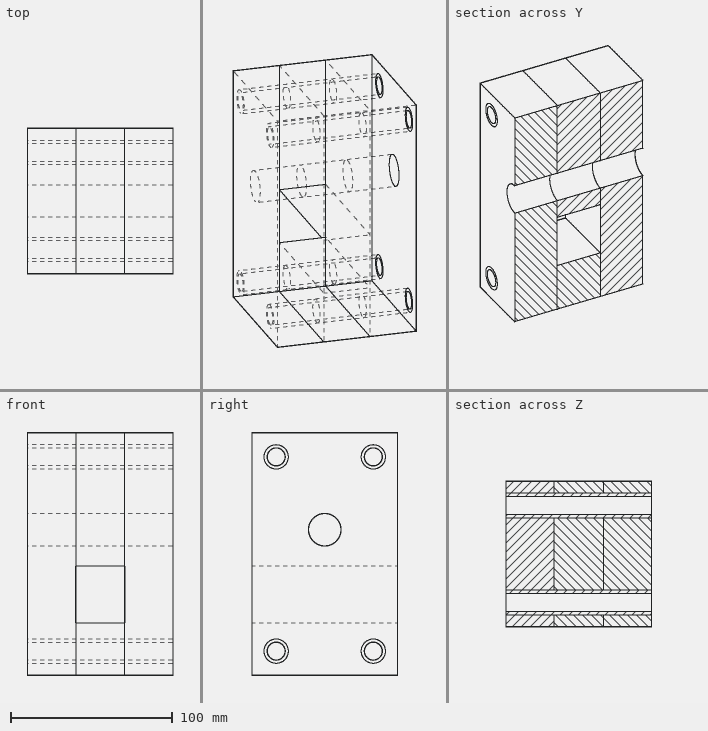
import cadquery as cq

layer_thickness = 30.0
depth = 90.0
height = 150.0
upper_spacer_height = 82.5
lower_spacer_height = 32.4

bore_diameter = 20.0
bore_height = 90.0

sleeve_outer_diameter = 15.0
sleeve_inner_diameter = 11.0
sleeve_edge_distance = 15.0

width = 3 * layer_thickness
sleeve_y = depth / 2 - sleeve_edge_distance
sleeve_positions = [
    (y, z)
    for y in (-sleeve_y, sleeve_y)
    for z in (sleeve_edge_distance, height - sleeve_edge_distance)
]


def rod_along_x(diameter, y, z):
    """Cylinder spanning the full width of the stack, centred on (y, z)."""
    return (
        cq.Workplane("YZ", origin=(-width / 2, 0, 0))
        .center(y, z)
        .circle(diameter / 2)
        .extrude(width)
    )


def make_layer_block(x_center, z_bottom, block_height):
    """Block one layer thick, before any holes are cut."""
    return cq.Workplane("XY", origin=(x_center, 0, z_bottom)).box(
        layer_thickness, depth, block_height, centered=(True, True, False)
    )


def cut_cross_holes(block):
    """Cut the central bore and the sleeve holes where they pass through a block."""
    block = block.cut(rod_along_x(bore_diameter, 0, bore_height))
    for y, z in sleeve_positions:
        block = block.cut(rod_along_x(sleeve_outer_diameter, y, z))
    return block


def make_side_plate(x_center):
    """Full-height outer plate."""
    return cut_cross_holes(make_layer_block(x_center, 0, height))


def make_upper_spacer():
    """Middle block above the window."""
    return cut_cross_holes(make_layer_block(0, height - upper_spacer_height, upper_spacer_height))


def make_lower_spacer():
    """Middle block below the window."""
    return cut_cross_holes(make_layer_block(0, 0, lower_spacer_height))


def make_sleeve(y, z):
    """Tube flush with the outer faces of both side plates."""
    return rod_along_x(sleeve_outer_diameter, y, z).cut(rod_along_x(sleeve_inner_diameter, y, z))


side_plates = [make_side_plate(x) for x in (-layer_thickness, layer_thickness)]
upper_spacer = make_upper_spacer()
lower_spacer = make_lower_spacer()
sleeves = [make_sleeve(y, z) for y, z in sleeve_positions]

result = cq.Compound.makeCompound([
    *[plate.solids().val() for plate in side_plates],
    upper_spacer.solids().val(),
    lower_spacer.solids().val(),
    *[sleeve.solids().val() for sleeve in sleeves],
])